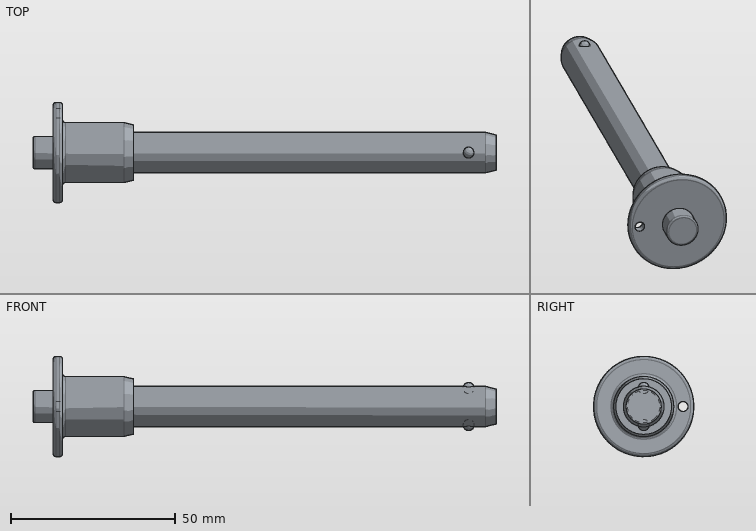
import cadquery as cq

total_length = 141.0

button_radius = 5.0
button_length = 6.0
button_round = 0.5

flange_diameter = 30.6
flange_radius = flange_diameter / 2
flange_thickness = 3.0
rim_round = flange_thickness / 3
lanyard_hole_diameter = 3.0
lanyard_hole_offset = 12.0

collar_radius = 9.2
collar_end_radius = 8.5
collar_length = 21.6
collar_taper_length = 3.0
root_round = 0.8

shank_radius = 6.2
tip_radius = 5.4
tip_length = 3.4

ball_radius = 1.7
ball_protrusion = 1.1
ball_distance_from_tip = 8.5

flange_front = button_length
flange_back = flange_front + flange_thickness
collar_end = flange_back + collar_length
ball_x = total_length - ball_distance_from_tip
ball_height = shank_radius + ball_protrusion - ball_radius


def make_ball(side):
    """Locking ball above (side = 1) or below (side = -1) the axis."""
    return cq.Workplane("XY").sphere(ball_radius).translate((ball_x, 0, side * ball_height))


def make_pin(balls):
    """Button, flange, collar and shank turned as one piece, with ball sockets."""
    profile = (
        cq.Workplane("XY")
        .moveTo(0, 0)
        .lineTo(0, button_radius - button_round)
        .radiusArc((button_round, button_radius), button_round)
        .lineTo(flange_front, button_radius)
        .lineTo(flange_front, flange_radius - rim_round)
        .radiusArc((flange_front + rim_round, flange_radius), rim_round)
        .lineTo(flange_back - rim_round, flange_radius)
        .radiusArc((flange_back, flange_radius - rim_round), rim_round)
        .lineTo(flange_back, collar_radius + root_round)
        .radiusArc((flange_back + root_round, collar_radius), -root_round)
        .lineTo(collar_end - collar_taper_length, collar_radius)
        .lineTo(collar_end, collar_end_radius)
        .lineTo(collar_end, shank_radius)
        .lineTo(total_length - tip_length, shank_radius)
        .lineTo(total_length, tip_radius)
        .lineTo(total_length, 0)
        .close()
    )
    pin = profile.revolve(360, (0, 0, 0), (1, 0, 0))
    lanyard_hole = (
        cq.Workplane("YZ", origin=(flange_front, lanyard_hole_offset, 0))
        .circle(lanyard_hole_diameter / 2)
        .extrude(flange_thickness)
    )
    pin = pin.cut(lanyard_hole)
    for ball in balls:
        pin = pin.cut(ball)
    return pin


balls = [make_ball(side) for side in (1, -1)]
pin = make_pin(balls)

result = cq.Compound.makeCompound([pin.val(), *[ball.val() for ball in balls]])